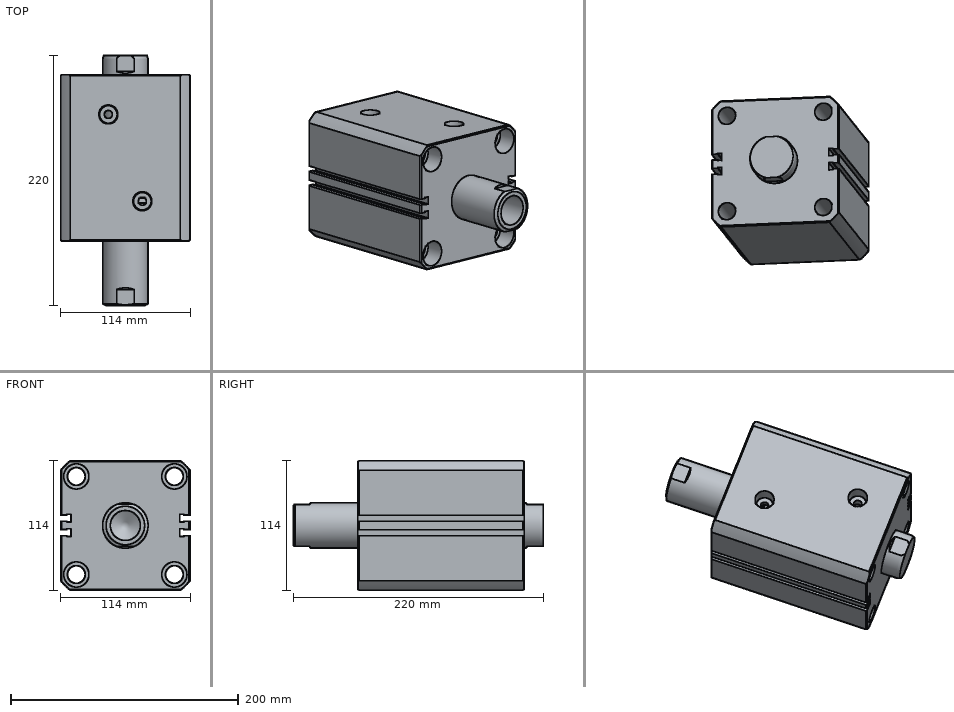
import cadquery as cq
import math

BLOCK_SIDE = 114.0
BLOCK_LENGTH = 146.3
CORNER_RADIUS = 74.8
END_CHAMFER = 1.0

BOLT_OFFSET = 43.1
BOLT_HOLE_DIAMETER = 15.5
BOLT_HEAD_DIAMETER = 22.2
BOLT_HEAD_DEPTH = 17.5

SLOT_OFFSET = 6.4
SLOT_MOUTH_WIDTH = 5.3
SLOT_INNER_WIDTH = 6.5
SLOT_DEPTH = 9.0
SLOT_LIP = 5.5

PORT_END_DISTANCE = 35.0
PORT_X = 15.0
PORT_MOUTH_RADIUS = 8.4
PORT_FLOOR_RADIUS = 7.7
PORT_DEPTH = 13.2
PORT_PASSAGE_RADIUS = 3.5

ROD_LENGTH = 220.0
ROD_RADIUS = 20.0
ROD_FRONT_OVERHANG = 56.8
FRONT_CHAMFER_LENGTH = 1.5
FRONT_FACE_RADIUS = 17.0
REAR_CHAMFER_LENGTH = 2.9
REAR_FACE_RADIUS = 19.1
FLAT_HEIGHT = 18.5
FLAT_LENGTH = 14.0
ROD_HOLE_RADIUS = 13.2
ROD_HOLE_DEPTH = 33.0
DRILL_POINT_ANGLE = 118
PISTON_RADIUS = 40.0
CHAMBER_END_WALL = 30.1
STROKE = 39.5

SEAL_Y = -17.5
SEAL_WIDTH = 4.0
SEAL_CLEARANCE = 0.7
SEAL_THICKNESS = 3.3

ROD_FRONT = -ROD_LENGTH / 2
ROD_REAR = ROD_LENGTH / 2
BLOCK_FRONT = ROD_FRONT + ROD_FRONT_OVERHANG
BLOCK_REAR = BLOCK_FRONT + BLOCK_LENGTH
BLOCK_MIDDLE = (BLOCK_FRONT + BLOCK_REAR) / 2
CHAMBER_FRONT = BLOCK_FRONT + CHAMBER_END_WALL
CHAMBER_REAR = BLOCK_REAR - CHAMBER_END_WALL
PISTON_FRONT = CHAMBER_FRONT
PISTON_REAR = CHAMBER_REAR - STROKE
BLOCK_TOP = BLOCK_SIDE / 2


def cylinder_y(radius, y_start, y_end, x=0, z=0):
    """Round bar parallel to Y."""
    axis_start = cq.Vector(x, y_start, z)
    return cq.Workplane(cq.Solid.makeCylinder(radius, y_end - y_start, axis_start, cq.Vector(0, 1, 0)))


def sensor_slot(side, z):
    """T-shaped slot along the whole block; side is -1 or 1 for the X side."""
    face_x = side * BLOCK_SIDE / 2
    mouth = cq.Workplane().box(2 * SLOT_DEPTH, BLOCK_LENGTH, SLOT_MOUTH_WIDTH)
    inner_depth = SLOT_DEPTH - SLOT_LIP
    inner_x = face_x - side * (SLOT_LIP + inner_depth / 2)
    inner = cq.Workplane().box(inner_depth, BLOCK_LENGTH, SLOT_INNER_WIDTH)
    return mouth.translate((face_x, BLOCK_MIDDLE, z)).union(inner.translate((inner_x, BLOCK_MIDDLE, z)))


def air_port(x, y):
    """Tapered port from the top face with a narrow passage down to the chamber."""
    down = cq.Vector(0, 0, -1)
    mouth = cq.Vector(x, y, BLOCK_TOP)
    taper = cq.Solid.makeCone(PORT_MOUTH_RADIUS, PORT_FLOOR_RADIUS, PORT_DEPTH, mouth, down)
    passage = cq.Solid.makeCylinder(PORT_PASSAGE_RADIUS, BLOCK_TOP - ROD_RADIUS, mouth, down)
    return cq.Workplane(taper).union(cq.Workplane(passage))


def make_housing():
    block = (
        cq.Workplane()
        .box(BLOCK_SIDE, BLOCK_LENGTH, BLOCK_SIDE)
        .faces("<Y or >Y")
        .chamfer(END_CHAMFER)
        .translate((0, BLOCK_MIDDLE, 0))
    )
    housing = block.intersect(cylinder_y(CORNER_RADIUS, BLOCK_FRONT, BLOCK_REAR))

    housing = housing.cut(cylinder_y(ROD_RADIUS, BLOCK_FRONT, BLOCK_REAR))
    housing = housing.cut(cylinder_y(PISTON_RADIUS, CHAMBER_FRONT, CHAMBER_REAR))

    head_floor = BLOCK_FRONT + BOLT_HEAD_DEPTH
    for x in (-BOLT_OFFSET, BOLT_OFFSET):
        for z in (-BOLT_OFFSET, BOLT_OFFSET):
            housing = housing.cut(cylinder_y(BOLT_HOLE_DIAMETER / 2, BLOCK_FRONT, BLOCK_REAR, x, z))
            housing = housing.cut(cylinder_y(BOLT_HEAD_DIAMETER / 2, BLOCK_FRONT, head_floor, x, z))

    for side in (-1, 1):
        for z in (-SLOT_OFFSET, SLOT_OFFSET):
            housing = housing.cut(sensor_slot(side, z))

    housing = housing.cut(air_port(PORT_X, BLOCK_FRONT + PORT_END_DISTANCE))
    return housing.cut(air_port(-PORT_X, BLOCK_REAR - PORT_END_DISTANCE))


def wrench_flat(rod_end, inward, side):
    """Cutter for one flat; inward is the Y direction into the rod, side is the Z side."""
    rise = ROD_RADIUS - FLAT_HEIGHT
    flat_end = rod_end + inward * FLAT_LENGTH
    return (
        cq.Workplane("YZ")
        .moveTo(rod_end, side * FLAT_HEIGHT)
        .lineTo(flat_end, side * FLAT_HEIGHT)
        .lineTo(flat_end + inward * rise, side * ROD_RADIUS)
        .lineTo(rod_end, side * ROD_RADIUS)
        .close()
        .extrude(ROD_RADIUS, both=True)
    )


def piston_ring(width):
    """Ring just under the piston wall: the seal itself, or the wider groove it sits in."""
    front = SEAL_Y - width / 2
    rear = SEAL_Y + width / 2
    return cylinder_y(PISTON_RADIUS, front, rear).cut(
        cylinder_y(PISTON_RADIUS - SEAL_THICKNESS, front, rear)
    )


def make_piston_rod():
    """Rod that passes right through the housing, with its piston in the middle."""
    rod = (
        cq.Workplane("XY")
        .moveTo(0, ROD_FRONT)
        .lineTo(FRONT_FACE_RADIUS, ROD_FRONT)
        .lineTo(ROD_RADIUS, ROD_FRONT + FRONT_CHAMFER_LENGTH)
        .lineTo(ROD_RADIUS, PISTON_FRONT)
        .lineTo(PISTON_RADIUS, PISTON_FRONT)
        .lineTo(PISTON_RADIUS, PISTON_REAR)
        .lineTo(ROD_RADIUS, PISTON_REAR)
        .lineTo(ROD_RADIUS, ROD_REAR - REAR_CHAMFER_LENGTH)
        .lineTo(REAR_FACE_RADIUS, ROD_REAR)
        .lineTo(0, ROD_REAR)
        .close()
        .revolve(360, (0, 0, 0), (0, 1, 0))
    )

    hole_floor = ROD_FRONT + ROD_HOLE_DEPTH
    point_length = ROD_HOLE_RADIUS / math.tan(math.radians(DRILL_POINT_ANGLE / 2))
    drill_point = cq.Solid.makeCone(
        ROD_HOLE_RADIUS, 0, point_length, cq.Vector(0, hole_floor, 0), cq.Vector(0, 1, 0)
    )
    rod = rod.cut(cylinder_y(ROD_HOLE_RADIUS, ROD_FRONT, hole_floor))
    rod = rod.cut(cq.Workplane(drill_point))

    for side in (-1, 1):
        rod = rod.cut(wrench_flat(ROD_FRONT, 1, side))
        rod = rod.cut(wrench_flat(ROD_REAR, -1, side))

    return rod.cut(piston_ring(SEAL_WIDTH + 2 * SEAL_CLEARANCE))


housing = make_housing()
piston_rod = make_piston_rod()
seal = piston_ring(SEAL_WIDTH)

result = cq.Compound.makeCompound([housing.val(), piston_rod.val(), seal.val()])